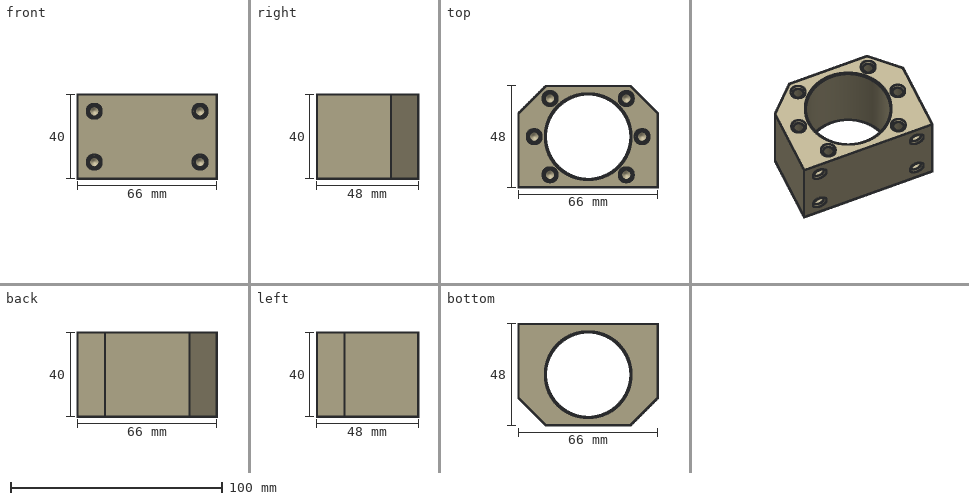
import cadquery as cq
import math

width = 66.0
depth = 48.0
height = 40.0
corner_cut = 13.0

bore_diameter = 40.0
bore_bevel = 0.5

hole_diameter = 5.0
mouth_diameter = 7.05
hole_depth = 15.0
drill_point_angle = 118.0

bolt_circle_diameter = 51.0
bolt_angles = (0, 45, 135, 180, 225, 315)
front_spacing_x = 50.0
front_spacing_z = 24.0


def make_block():
    """Rectangular block with the two vertical +Y corners cut at 45 degrees."""
    return (
        cq.Workplane("XY")
        .box(width, depth, height, centered=(True, True, False))
        .edges("|Z and >Y")
        .chamfer(corner_cut)
    )


def make_bore():
    """Cutter for the bore, bevelled at 45 degrees at both ends."""
    radius = bore_diameter / 2
    wide = radius + bore_bevel
    profile = [
        (0, 0),
        (wide, 0),
        (radius, bore_bevel),
        (radius, height - bore_bevel),
        (wide, height),
        (0, height),
    ]
    return cq.Workplane("XZ").polyline(profile).close().revolve(360, (0, 0), (0, 1))


def make_drill():
    """Cutter for one blind hole: mouth at the origin, drilled towards -Z."""
    radius = hole_diameter / 2
    mouth_radius = mouth_diameter / 2
    countersink_depth = mouth_radius - radius
    point_length = radius / math.tan(math.radians(drill_point_angle / 2))
    profile = [
        (0, 0),
        (mouth_radius, 0),
        (radius, -countersink_depth),
        (radius, -hole_depth),
        (0, -hole_depth - point_length),
    ]
    return cq.Workplane("XZ").polyline(profile).close().revolve(360, (0, 0), (0, 1))


result = make_block().cut(make_bore())

top_drill = make_drill()
bolt_radius = bolt_circle_diameter / 2
for angle in bolt_angles:
    x = bolt_radius * math.cos(math.radians(angle))
    y = bolt_radius * math.sin(math.radians(angle))
    result = result.cut(top_drill.translate((x, y, height)))

front_drill = make_drill().rotate((0, 0, 0), (1, 0, 0), 90)
for side_x in (-1, 1):
    for side_z in (-1, 1):
        x = side_x * front_spacing_x / 2
        z = height / 2 + side_z * front_spacing_z / 2
        result = result.cut(front_drill.translate((x, -depth / 2, z)))